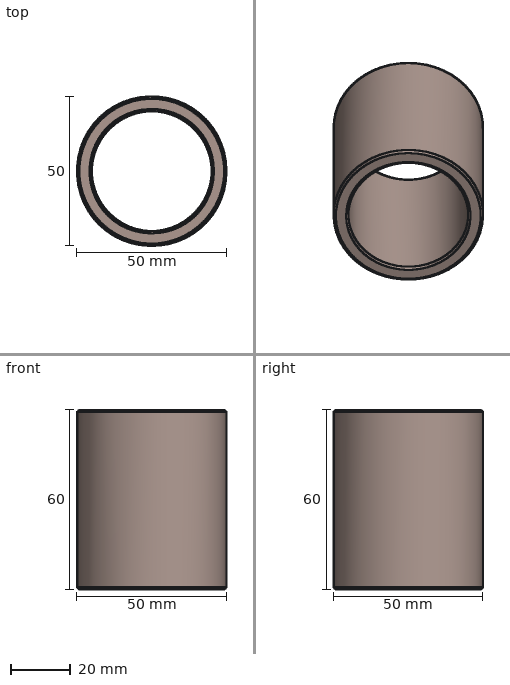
import cadquery as cq

length = 60.0
outer_diameter = 50.0
bore_diameter = 40.0
edge_chamfer = 0.8

tube = (
    cq.Workplane("XY", origin=(0, 0, -length / 2))
    .circle(outer_diameter / 2)
    .circle(bore_diameter / 2)
    .extrude(length)
)

result = tube.faces("<Z or >Z").edges().chamfer(edge_chamfer)